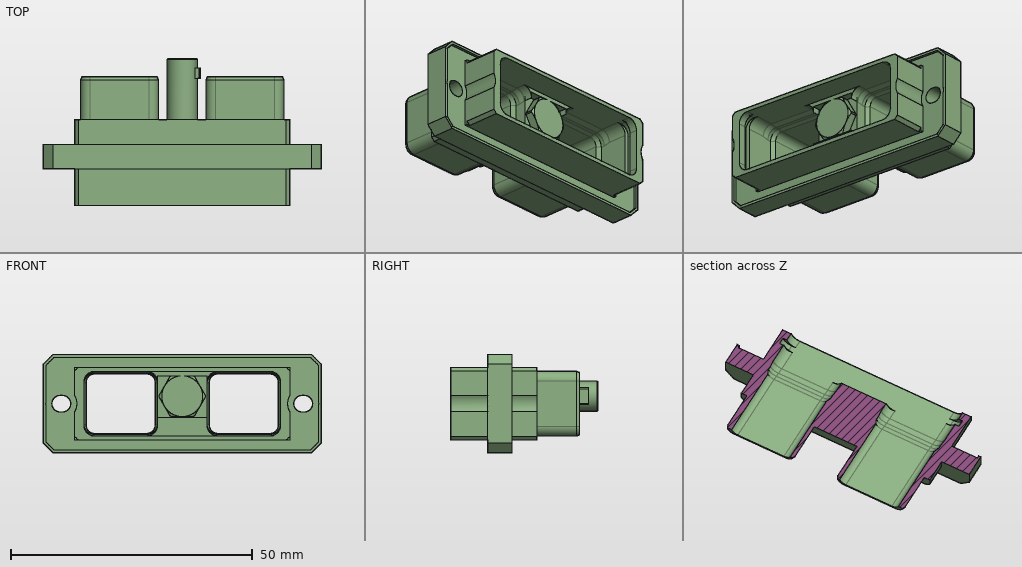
import cadquery as cq
import math


flange_length = 57.45
flange_height = 20.35
flange_corner = 2.0
flange_front = 7.65
flange_back = 12.7
rim_width = 0.6
rim_depth = 0.6
screw_offset = 25.0
slot_length = 3.85
slot_height = 3.4

shell_length = 44.45
shell_height = 15.05
shell_chamfer = 0.75
shell_back = 17.8
relief_radius = 3.2

cavity_length = 40.7
cavity_height = 13.25
cavity_radius = 2.2
cavity_depth = 5.65
groove_front = 1.85
groove_back = 3.2
groove_depth = 0.9

divider_width = 10.2
first_ramp = (7.75, 9.2)
first_inset = 0.3
second_ramp = (10.05, 11.1)
second_inset = 0.5

block_spacing = 25.9
block_width = 16.15
block_height = 13.45
block_radius = 2.0
block_back = 26.65
block_chamfer_length = 0.7
block_chamfer_inset = 0.3

pin_z = 1.55
pin_diameter = 6.3
pin_back = 30.4
pin_edge = 0.2
head_sides = 6
head_flats = 8.45
head_trim_diameter = 9.55
head_chamfer_angle = 30
pocket_floor = 7.5
pocket_bottom = -2.8
pocket_top = 5.75
key_reach = 3.75
key_width = 2.1
key_height = 3.5
key_middle = 27.4
key_edge = 0.3

sides = (-1, 1)


def section(y, x=0.0, z=0.0):
    """Sketch plane across the mating axis: local x is X, local y is Z."""
    return cq.Workplane("XZ", origin=(x, y, z))


def bar(width, height, front, back, x=0.0, z=0.0):
    """Rectangular bar along Y, centred on x and z."""
    return section(front, x, z).rect(width, height).extrude(front - back)


def rounded_bar(width, height, radius, front, back, x=0.0):
    return bar(width, height, front, back, x).edges("|Y").fillet(radius)


def chamfered_bar(width, height, chamfer, front, back):
    return bar(width, height, front, back).edges("|Y").chamfer(chamfer)


def make_flange():
    flange = chamfered_bar(flange_length, flange_height, flange_corner, flange_front, flange_back)
    recess_corner = flange_corner - rim_width * (2 - math.sqrt(2))
    recess = chamfered_bar(
        flange_length - 2 * rim_width,
        flange_height - 2 * rim_width,
        recess_corner,
        flange_front,
        flange_front + rim_depth,
    )
    slots = (
        section(flange_front)
        .pushPoints([(side * screw_offset, 0) for side in sides])
        .slot2D(slot_length, slot_height)
        .extrude(flange_front - flange_back)
    )
    return flange.cut(recess).cut(slots)


def make_shell():
    shell = chamfered_bar(shell_length, shell_height, shell_chamfer, 0, shell_back)
    return shell.union(bar(shell_length, shell_height, flange_front, flange_front + rim_depth))


def make_screw_reliefs(front, back):
    """Grooves in the shell ends that leave room for the screw heads."""
    return (
        section(front)
        .pushPoints([(side * screw_offset, 0) for side in sides])
        .circle(relief_radius)
        .extrude(front - back)
    )


def make_block(x):
    block = rounded_bar(block_width, block_height, block_radius, shell_back, block_back, x)
    return block.faces(">Y").chamfer(block_chamfer_length, block_chamfer_inset)


def make_cavity():
    """Room between the windows in front of the divider, with a groove in each end wall."""
    cavity = bar(block_spacing, cavity_height, 0, cavity_depth)
    groove_length = cavity_length + 2 * groove_depth
    return cavity.union(rounded_bar(groove_length, cavity_height, cavity_radius, groove_front, groove_back))


def make_window(side):
    """Rounded passage from the mouth to the back that narrows in two short ramps."""
    width = (cavity_length - divider_width) / 2
    x = side * (divider_width + width) / 2

    def outline(side_inset, height_inset):
        sketch = cq.Sketch().rect(width - 2 * side_inset, cavity_height - 2 * height_inset)
        return sketch.vertices().fillet(cavity_radius - side_inset)

    def passage(front, front_insets, back, back_insets):
        back_outline = outline(*back_insets).moved(cq.Location(cq.Vector(0, 0, front - back)))
        return section(front, x).placeSketch(outline(*front_insets), back_outline).loft(ruled=True)

    stations = [
        (0, (0, 0)),
        (first_ramp[0], (0, 0)),
        (first_ramp[1], (0, first_inset)),
        (second_ramp[0], (0, first_inset)),
        (second_ramp[1], (second_inset, second_inset)),
        (block_back, (second_inset, second_inset)),
    ]
    window = cq.Workplane("XY")
    for start, end in zip(stations, stations[1:]):
        window = window.add(passage(*start, *end))
    return window.combine(clean=True)


def make_pin_pocket():
    height = pocket_top - pocket_bottom
    middle = (pocket_top + pocket_bottom) / 2
    return bar(divider_width, height, cavity_depth, pocket_floor, 0, middle)


def make_pin():
    shank = section(pocket_floor, 0, pin_z).circle(pin_diameter / 2).extrude(pocket_floor - pin_back)
    shank = shank.faces(">Y").chamfer(pin_edge)
    head_points = head_flats / math.cos(math.pi / head_sides)
    head_length = pocket_floor - cavity_depth
    head = section(cavity_depth, 0, pin_z).polygon(head_sides, head_points).extrude(-head_length)
    corner_height = (head_trim_diameter - head_flats) / 2
    chamfer_length = corner_height * math.tan(math.radians(head_chamfer_angle))
    trim = section(cavity_depth, 0, pin_z).circle(head_trim_diameter / 2).extrude(-head_length)
    trim = trim.faces("<Y").chamfer(chamfer_length, corner_height)
    key = (
        cq.Workplane("XY")
        .box(key_reach, key_width, key_height)
        .faces(">X")
        .edges("|Y")
        .chamfer(key_edge)
        .translate((key_reach / 2, key_middle, pin_z))
    )
    return shank.union(head.intersect(trim)).union(key)


body = make_flange().union(make_shell())
body = body.cut(make_screw_reliefs(0, flange_front + rim_depth))
body = body.cut(make_screw_reliefs(flange_back, shell_back))
for side in sides:
    body = body.union(make_block(side * block_spacing / 2))
body = body.cut(make_cavity())
for side in sides:
    body = body.cut(make_window(side))
body = body.cut(make_pin_pocket())
result = body.union(make_pin())